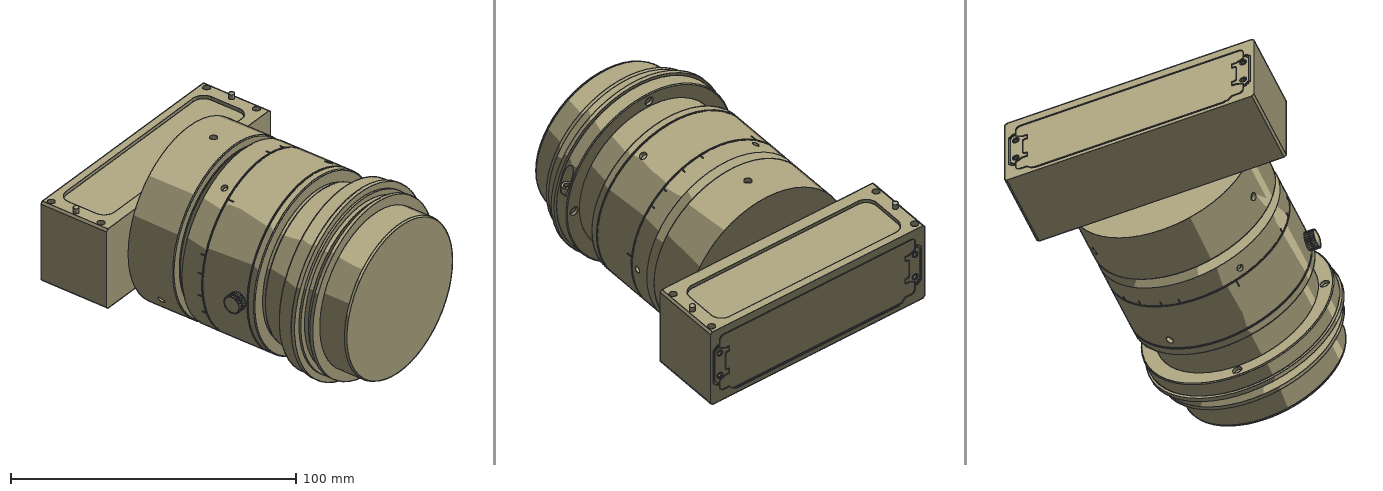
import cadquery as cq
import math

total_length = 122.0
cut_clearance = 1.2

box_length = 28.9
box_width = 95.0
box_height = 33.5
box_chamfer = 0.9

body_radius = 70.0 / 2
groove_radius = 31.7
rear_end = 48.9
cone_start = 49.4
cone_end = 52.7
body_end = 84.5
body_chamfer = 0.4
ring_groove_places = (61.5, 81.4)
ring_groove_width = 0.4
ring_groove_depth = 0.4

tube_radius = 62.0 / 2
tube_start = 86.4
tube_start_chamfer = 0.6
tube_end_chamfer_length = 0.9
tube_end_chamfer_height = 0.4
neck_radius = 30.3
flange_radius = 36.7
flange_start = 96.5
flange_end = 102.6
flange_chamfer = 0.4
rim_radius = 75.0 / 2
rim_end = 104.2
collar_end = 105.0
waist_radius = 33.0
waist_end = 106.8
lip_cone_end = 109.0
lip_end = 110.3

recess_length = 21.4
recess_width = 82.8
recess_corner = 4.6
recess_depth = 1.5
recess_center_x = 13.7
fixing_y = 45.0
fixing_spacing = 22.0
fixing_diameter = 2.8
fixing_depth = 2.5
pin_diameter = 2.1
pin_height = 2.1

panel_depth = 0.4
panel_top = 12.9
panel_half_width = 43.3
panel_corner = 1.8
panel_foot_z = -12.5
panel_foot_y = 39.0
panel_bottom = -14.2
panel_bottom_half_width = 37.5
sill_height = 0.6
sill_half_width = 36.2
sill_depth = 0.18
tab_outer_y = 46.1
tab_half_height = 9.0
tab_corner = 1.6
tab_gap = 0.6
tab_inner_y = 40.7
tab_claw_y = 39.0
tab_claw_fillet = 1.0
tab_claw_inner_z = 4.1
tab_claw_outer_z = 6.2
tab_shoulder_z = 7.5
tab_screw_y = 43.3
tab_screw_z = 5.1
tab_screw_diameter = 2.5
tab_screw_depth = 0.2
tab_socket_diameter = 1.3
tab_socket_depth = 1.2

repeat_angles = (0, 120, 240)
clamp_x = 77.3
knob_angle = 90
radial_hole_depth = 1.8
radial_hole_rows = (
    (40.0, 0, 2.8),
    (58.1, 30, 2.5),
    (clamp_x, knob_angle, 2.8),
)

knob_diameter = 7.1
knob_root = 1.2
knob_shoulder = 38.7
knob_tip = 39.4
knob_waist_height = 36.7
knob_waist_width = 0.4
knob_teeth = 24
knob_tooth_depth = 0.4

scale_mark_angles = (71.0, 82.9, 98.5, 112.3)
scale_mark_length = 2.0
index_mark_angle = 35.5
index_mark_length = 2.7
mark_width = 0.2
mark_depth = 0.18

flange_hole_radius = 33.3
flange_hole_count = 4
flange_hole_diameter = 3.4
flange_hole_depth = 1.2
tangent_screw_x = 99.5
tangent_screw_y = 34.2
tangent_bore_diameter = 4.5
tangent_bore_floor = 7.3
tangent_head_diameter = 4.0
tangent_head_top = 10.4
tangent_socket_width = 2.5
tangent_socket_depth = 1.5


def about_axis(solid, angle):
    """Turn a solid from the +Z side toward -Y around the lens axis."""
    return solid.rotate((0, 0, 0), (1, 0, 0), angle)


def turned_body():
    profile = [
        (box_length, 0),
        (box_length, body_radius),
        (rear_end - body_chamfer, body_radius),
        (rear_end, body_radius - body_chamfer),
        (rear_end, groove_radius),
        (cone_start, groove_radius),
        (cone_end, body_radius),
        (body_end - body_chamfer, body_radius),
        (body_end, body_radius - body_chamfer),
        (body_end, neck_radius),
        (tube_start - tube_start_chamfer, neck_radius),
        (tube_start, tube_radius),
        (flange_start, tube_radius),
        (flange_start, flange_radius - flange_chamfer),
        (flange_start + flange_chamfer, flange_radius),
        (flange_end - flange_chamfer, flange_radius),
        (flange_end, flange_radius - flange_chamfer),
        (flange_end, rim_radius),
        (rim_end, rim_radius),
        (rim_end, body_radius),
        (collar_end, body_radius),
        (collar_end, waist_radius),
        (waist_end, waist_radius),
        (lip_cone_end, body_radius),
        (lip_end, body_radius),
        (lip_end, tube_radius),
        (total_length - tube_end_chamfer_length, tube_radius),
        (total_length, tube_radius - tube_end_chamfer_height),
        (total_length, 0),
    ]
    body = cq.Workplane("XY").polyline(profile).close().revolve(360, (0, 0, 0), (1, 0, 0))
    for place in ring_groove_places:
        groove = (
            cq.Workplane("YZ", origin=(place - ring_groove_width / 2, 0, 0))
            .circle(body_radius + cut_clearance)
            .circle(body_radius - ring_groove_depth)
            .extrude(ring_groove_width)
        )
        body = body.cut(groove)
    return body


def mounting_box():
    box = (
        cq.Workplane("XY")
        .box(box_length, box_width, box_height, centered=(False, True, True))
        .edges("|X")
        .chamfer(box_chamfer)
    )
    top = cq.Workplane("XY", origin=(recess_center_x, 0, box_height / 2))
    recess = (
        top.rect(recess_length, recess_width).extrude(-recess_depth).edges("|Z").fillet(recess_corner)
    )
    holes = (
        top.rect(fixing_spacing, 2 * fixing_y, forConstruction=True)
        .vertices()
        .circle(fixing_diameter / 2)
        .extrude(-fixing_depth)
    )
    pins = top.pushPoints([(0, fixing_y), (0, -fixing_y)]).circle(pin_diameter / 2).extrude(pin_height)
    return box.cut(recess).cut(holes).union(pins)


def back_panel():
    """Shallow stepped hollow of the back face, as the solid to cut away."""
    back = cq.Workplane("YZ")
    main = (
        back.center(0, (panel_top + panel_foot_z) / 2)
        .rect(2 * panel_half_width, panel_top - panel_foot_z)
        .extrude(panel_depth)
        .edges("|X")
        .fillet(panel_corner)
    )
    foot = (
        back.moveTo(-panel_foot_y, panel_foot_z)
        .lineTo(panel_foot_y, panel_foot_z)
        .lineTo(panel_bottom_half_width, panel_bottom)
        .lineTo(-panel_bottom_half_width, panel_bottom)
        .close()
        .extrude(panel_depth)
    )
    sill = (
        back.center(0, panel_bottom - sill_height / 2)
        .rect(2 * sill_half_width, sill_height)
        .extrude(sill_depth)
    )
    return main.union(foot).union(sill)


def tab_pocket():
    """Hollow around the +Y end tab, as the solid to cut away."""
    length = tab_outer_y - tab_claw_y
    return (
        cq.Workplane("YZ", origin=(0, tab_outer_y - length / 2, 0))
        .rect(length, 2 * tab_half_height)
        .extrude(panel_depth)
        .edges("|X and >Y")
        .chamfer(tab_corner)
    )


def end_tab():
    """Screwed tab at the +Y end, with two claws that reach into the panel."""
    side = tab_outer_y - tab_gap
    top = tab_half_height - tab_gap
    upper_half = (
        cq.Workplane("YZ")
        .moveTo(tab_inner_y, 0)
        .lineTo(tab_inner_y, tab_claw_inner_z - tab_claw_fillet)
        .radiusArc((tab_inner_y - tab_claw_fillet, tab_claw_inner_z), -tab_claw_fillet)
        .lineTo(tab_claw_y, tab_claw_inner_z)
        .lineTo(tab_claw_y, tab_claw_outer_z)
        .lineTo(tab_inner_y, tab_claw_outer_z)
        .lineTo(panel_half_width, tab_shoulder_z)
        .lineTo(panel_half_width, top)
        .lineTo(side - tab_corner, top)
        .lineTo(side, top - tab_corner)
        .lineTo(side, 0)
        .close()
        .extrude(panel_depth)
    )
    return upper_half.union(upper_half.mirror("XY"))


def cut_back_face(body):
    pocket = tab_pocket()
    tab = end_tab()
    body = body.cut(back_panel()).cut(pocket).cut(pocket.mirror("XZ"))
    body = body.union(tab).union(tab.mirror("XZ"))
    places = cq.Workplane("YZ").rect(2 * tab_screw_y, 2 * tab_screw_z, forConstruction=True).vertices()
    heads = places.circle(tab_screw_diameter / 2).extrude(tab_screw_depth)
    sockets = places.circle(tab_socket_diameter / 2).extrude(tab_socket_depth)
    return body.cut(heads).cut(sockets)


def cut_radial_holes(body):
    """Three rows of screw holes, each row spread evenly around the lens."""
    for place, first_angle, diameter in radial_hole_rows:
        hole = (
            cq.Workplane("XY", origin=(place, 0, body_radius - radial_hole_depth))
            .circle(diameter / 2)
            .extrude(2 * radial_hole_depth)
        )
        for turn in repeat_angles:
            body = body.cut(about_axis(hole, first_angle + turn))
    return body


def scale_mark(start, length, angle):
    mark = cq.Workplane("XY", origin=(start + length / 2, 0, body_radius)).box(
        length, mark_width, 2 * mark_depth
    )
    return about_axis(mark, angle)


def cut_scale_marks(body):
    """Engraved lines on both sides of the first ring groove, repeated three times."""
    groove_x = ring_groove_places[0]
    for turn in repeat_angles:
        for angle in scale_mark_angles:
            body = body.cut(scale_mark(groove_x - scale_mark_length, scale_mark_length, angle + turn))
        body = body.cut(scale_mark(groove_x, index_mark_length, index_mark_angle + turn))
    return body


def thumbscrew():
    """Knurled knob with a domed end, standing on the -Y side."""
    radius = knob_diameter / 2
    teeth = []
    for step in range(2 * knob_teeth):
        reach = radius - knob_tooth_depth * (step % 2)
        angle = math.pi * step / knob_teeth
        teeth.append((reach * math.cos(angle), reach * math.sin(angle)))
    knob_base = body_radius - knob_root
    knob = (
        cq.Workplane("XY", origin=(0, 0, knob_base))
        .polyline(teeth)
        .close()
        .extrude(knob_shoulder - knob_base)
    )
    waist = (
        cq.Workplane("XY", origin=(0, 0, knob_waist_height))
        .circle(radius + cut_clearance)
        .circle(radius - knob_tooth_depth)
        .extrude(knob_waist_width)
    )
    dome_radius = radius - knob_tooth_depth
    dome_height = knob_tip - knob_shoulder
    sphere_radius = (dome_radius**2 + dome_height**2) / (2 * dome_height)
    dome = (
        cq.Workplane("XZ", origin=(0, 0, knob_shoulder))
        .lineTo(dome_radius, 0)
        .radiusArc((0, dome_height), -sphere_radius)
        .close()
        .revolve(360, (0, 0, 0), (0, 1, 0))
    )
    knob = knob.cut(waist).union(dome).translate((clamp_x, 0, 0))
    return about_axis(knob, knob_angle)


def cut_flange_screws(body):
    """Axial holes in the rear flange face and one sunk screw across the flange."""
    holes = (
        cq.Workplane("YZ", origin=(flange_start, 0, 0))
        .polarArray(flange_hole_radius, 0, 360, flange_hole_count)
        .circle(flange_hole_diameter / 2)
        .extrude(flange_hole_depth)
    )
    across = cq.Workplane("XY", origin=(tangent_screw_x, tangent_screw_y, 0))
    bore = (
        across.workplane(offset=tangent_bore_floor)
        .circle(tangent_bore_diameter / 2)
        .extrude(flange_radius - tangent_bore_floor)
    )
    head = (
        across.workplane(offset=tangent_bore_floor)
        .circle(tangent_head_diameter / 2)
        .extrude(tangent_head_top - tangent_bore_floor)
        .faces(">Z")
        .workplane()
        .polygon(6, tangent_socket_width)
        .cutBlind(-tangent_socket_depth)
    )
    return body.cut(holes).cut(bore).union(head)


result = mounting_box().union(turned_body())
result = cut_back_face(result)
result = cut_radial_holes(result)
result = cut_scale_marks(result)
result = cut_flange_screws(result)
result = result.union(thumbscrew())